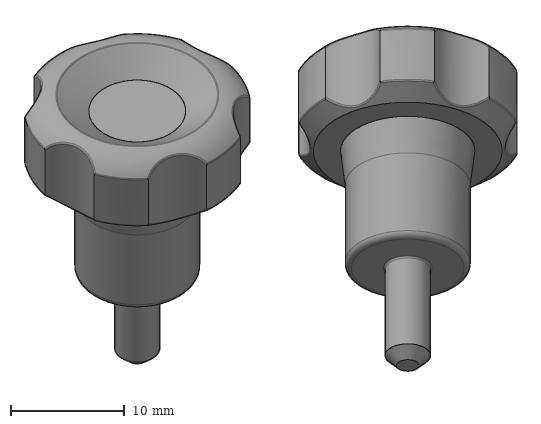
import cadquery as cq
import math

total_height = 30.0
head_bottom = 22.02
hub_bottom = 10.0

head_radius = 10.0
rim_top = 28.6
rim_bottom = 23.28
crown_inner_radius = 7.1
crown_radius = 4.2
head_base_radius = 8.3

scallop_count = 6
scallop_floor = 8.58
scallop_half_width = 2.75
rim_fillet = 0.18

dish_floor_radius = 4.25
dish_depth = 1.9
dish_lip_fillet = 0.15

hub_radius = 11.0 / 2
neck_bottom = 18.5
neck_top_radius = 5.9
hub_fillet = 0.55

stud_radius = 4.0 / 2
stud_tip_radius = 1.0
stud_chamfer = 1.02
stud_root_fillet = 0.15


def make_head():
    """Solid of revolution with a domed crown and a conical underside."""
    crown_start = (head_radius, rim_top)
    crown_end = (crown_inner_radius, total_height)
    profile = (
        cq.Workplane("XZ")
        .moveTo(0, head_bottom)
        .lineTo(head_base_radius, head_bottom)
        .lineTo(head_radius, rim_bottom)
        .lineTo(*crown_start)
        .radiusArc(crown_end, -crown_radius)
        .lineTo(0, total_height)
        .close()
    )
    return profile.revolve(360, (0, 0, 0), (0, 1, 0))


def cut_scallops(head):
    """Cut the finger scallops and round their upper and lower edges."""
    chord_distance = math.sqrt(head_radius**2 - scallop_half_width**2)
    sagitta = chord_distance - scallop_floor
    scallop_radius = (scallop_half_width**2 + sagitta**2) / (2 * sagitta)
    cutters = (
        cq.Workplane("XY")
        .workplane(offset=head_bottom)
        .polarArray(scallop_floor + scallop_radius, 0, 360, scallop_count)
        .circle(scallop_radius)
        .extrude(total_height - head_bottom)
    )
    grip = head.cut(cutters)
    rim_edges = grip.edges("not |Z").edges(
        cq.selectors.BoxSelector(
            (-head_radius, -head_radius, head_bottom + rim_fillet),
            (head_radius, head_radius, total_height - rim_fillet),
        )
    )
    return rim_edges.fillet(rim_fillet)


def make_dish():
    """Conical recess with a flat floor."""
    return (
        cq.Workplane("XZ")
        .moveTo(0, total_height)
        .lineTo(crown_inner_radius, total_height)
        .lineTo(dish_floor_radius, total_height - dish_depth)
        .lineTo(0, total_height - dish_depth)
        .close()
        .revolve(360, (0, 0, 0), (0, 1, 0))
    )


def make_hub():
    """Cylindrical hub that flares towards the head, rounded at its lower end."""
    return (
        cq.Workplane("XZ")
        .moveTo(0, hub_bottom)
        .lineTo(hub_radius, hub_bottom)
        .lineTo(hub_radius, neck_bottom)
        .lineTo(neck_top_radius, head_bottom)
        .lineTo(0, head_bottom)
        .close()
        .revolve(360, (0, 0, 0), (0, 1, 0))
        .faces("<Z")
        .edges()
        .fillet(hub_fillet)
    )


def make_stud():
    """Plain stud with a conical tip."""
    return (
        cq.Workplane("XZ")
        .lineTo(stud_tip_radius, 0)
        .lineTo(stud_radius, stud_chamfer)
        .lineTo(stud_radius, hub_bottom)
        .lineTo(0, hub_bottom)
        .close()
        .revolve(360, (0, 0, 0), (0, 1, 0))
    )


def join_stud(knob):
    """Add the stud and blend its root into the end face of the hub."""
    joined = knob.union(make_stud())
    root = cq.selectors.BoxSelector(
        (-stud_radius, -stud_radius, hub_bottom - stud_root_fillet),
        (stud_radius, stud_radius, hub_bottom + stud_root_fillet),
        boundingbox=False,
    )
    return joined.edges(root).edges(cq.selectors.RadiusNthSelector(0)).fillet(stud_root_fillet)


grip = cut_scallops(make_head())
head = grip.cut(make_dish()).edges(">Z").fillet(dish_lip_fillet)
result = join_stud(head.union(make_hub()))